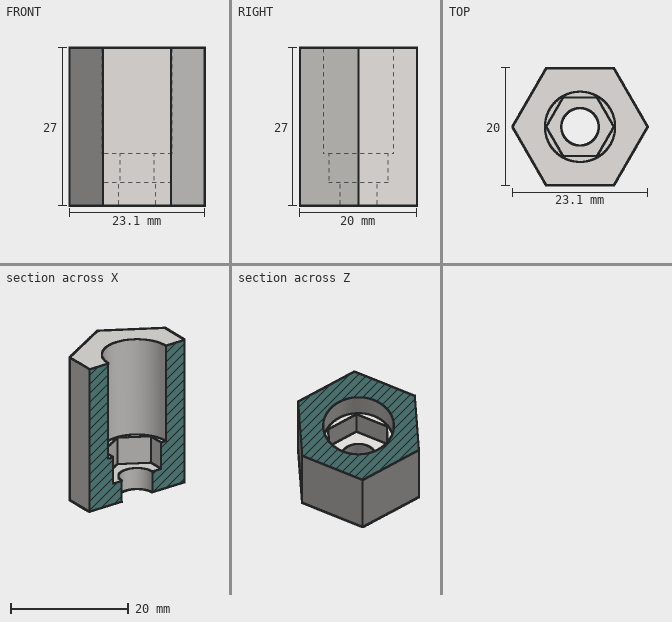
import cadquery as cq
import math

body_height = 27.0
body_across_flats = 20.0

bore_diameter = 12.0
bore_depth = 18.0
socket_across_flats = body_across_flats / 2
socket_depth = 5.0
hole_diameter = 6.35


def hexagon_prism(across_flats, bottom, height):
    """Upright hexagonal prism with its corners on the X axis."""
    across_corners = across_flats / math.cos(math.pi / 6)
    return cq.Workplane("XY").workplane(offset=bottom).polygon(6, across_corners).extrude(height)


def cylinder(diameter, bottom, height):
    """Upright cylinder on the Z axis."""
    return cq.Workplane("XY").workplane(offset=bottom).circle(diameter / 2).extrude(height)


bore_floor = body_height - bore_depth
socket_floor = bore_floor - socket_depth

body = hexagon_prism(body_across_flats, 0, body_height)
bore = cylinder(bore_diameter, bore_floor, bore_depth)
socket = hexagon_prism(socket_across_flats, socket_floor, socket_depth)
through_hole = cylinder(hole_diameter, 0, body_height)

result = body.cut(bore).cut(socket).cut(through_hole)